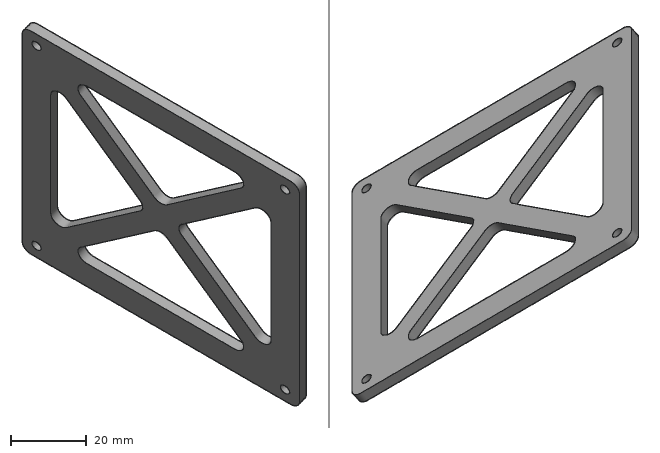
import cadquery as cq
import math

plate_side = 92.0
plate_thickness = 3.0
corner_radius = 3.0
rim_width = 9.5
strut_width = 6.7
window_radius = 3.0
hole_diameter = 3.0
hole_edge_distance = 4.8

window_outer = plate_side / 2 - rim_width
window_apex = strut_width / math.sqrt(2)
window_half_width = window_outer - window_apex
hole_spacing = plate_side - 2 * hole_edge_distance


def make_plate():
    """Square plate standing in the XZ plane, with rounded corners."""
    plate = cq.Workplane("XZ").rect(plate_side, plate_side).extrude(plate_thickness / 2, both=True)
    return plate.edges("|Y").fillet(corner_radius)


def make_window(angle):
    """Rounded triangular cutter between two diagonal struts, turned about the Y axis."""
    window = (
        cq.Workplane("XZ")
        .moveTo(0, window_apex)
        .lineTo(window_half_width, window_outer)
        .lineTo(-window_half_width, window_outer)
        .close()
        .extrude(plate_thickness, both=True)
        .edges("|Y")
        .fillet(window_radius)
    )
    return window.rotate((0, 0, 0), (0, 1, 0), angle)


def make_corner_holes():
    """Cutters for the mounting holes, one near each plate corner."""
    return (
        cq.Workplane("XZ")
        .rect(hole_spacing, hole_spacing, forConstruction=True)
        .vertices()
        .circle(hole_diameter / 2)
        .extrude(plate_thickness, both=True)
    )


result = make_plate().cut(make_corner_holes())
for window_angle in (0, 90, 180, 270):
    result = result.cut(make_window(window_angle))